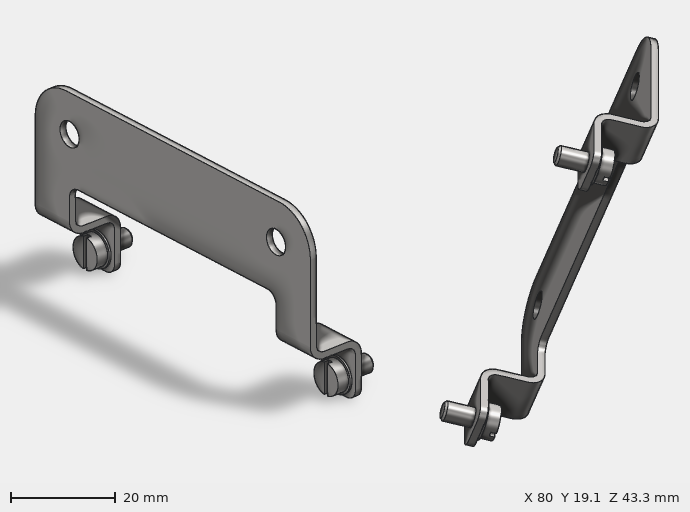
import cadquery as cq
import math

WIDTH = 80.0
HEIGHT = 43.3
SHEET = 1.5
BEND_INNER_R = 2.0
BEND_OUTER_R = BEND_INNER_R + SHEET
STEP_DEPTH = 13.0
WEB_BOTTOM = 12.0
WEB_TOP = WEB_BOTTOM + SHEET

TOP_CORNER_R = 9.0
LEG_WIDTH = 10.0
BRIDGE_HEIGHT = 20.0
WINDOW_TOP = HEIGHT - BRIDGE_HEIGHT
SMALL_CORNER_R = 2.5

MOUNT_HOLE_D = 5.5
MOUNT_HOLE_X = WIDTH / 2 - LEG_WIDTH
MOUNT_HOLE_Z = HEIGHT - TOP_CORNER_R

WASHER_D = 8.0
WASHER_THICKNESS = 0.5
SCREW_D = 4.0
SCREW_PROTRUSION = 6.1
SCREW_TIP_CHAMFER = 0.5
HEAD_D = 7.0
HEAD_HEIGHT = 2.6
SLOT_WIDTH = 1.0
SLOT_DEPTH = 1.1
SCREW_X = WIDTH / 2 - LEG_WIDTH / 2
SCREW_Z = WASHER_D / 2

FOOT_BACK = STEP_DEPTH
FOOT_FRONT = FOOT_BACK - SHEET
WASHER_FRONT = FOOT_FRONT - WASHER_THICKNESS
HEAD_FRONT = WASHER_FRONT - HEAD_HEIGHT
SCREW_TIP = FOOT_BACK + SCREW_PROTRUSION


def cylinder_along_y(diameter, y_start, y_end, x, z):
    """Cylinder parallel to Y, reaching from y_start to y_end."""
    base = cq.Workplane("XZ", origin=(x, y_start, z))
    return base.circle(diameter / 2).extrude(y_start - y_end)


def bent_sheet():
    """Z-shaped sheet profile in the YZ plane, extruded over the full width."""
    diagonal = math.sqrt(0.5)
    upper_y = BEND_OUTER_R
    upper_z = WEB_BOTTOM + BEND_OUTER_R
    lower_y = FOOT_BACK - BEND_OUTER_R
    lower_z = WEB_TOP - BEND_OUTER_R
    inner_mid = BEND_INNER_R * diagonal
    outer_mid = BEND_OUTER_R * diagonal
    return (
        cq.Workplane("YZ", origin=(-WIDTH / 2, 0, 0))
        .moveTo(0, HEIGHT)
        .lineTo(0, upper_z)
        .threePointArc((upper_y - outer_mid, upper_z - outer_mid), (upper_y, WEB_BOTTOM))
        .lineTo(lower_y, WEB_BOTTOM)
        .threePointArc((lower_y + inner_mid, lower_z + inner_mid), (FOOT_FRONT, lower_z))
        .lineTo(FOOT_FRONT, 0)
        .lineTo(FOOT_BACK, 0)
        .lineTo(FOOT_BACK, lower_z)
        .threePointArc((lower_y + outer_mid, lower_z + outer_mid), (lower_y, WEB_TOP))
        .lineTo(upper_y, WEB_TOP)
        .threePointArc((upper_y - inner_mid, upper_z - inner_mid), (SHEET, upper_z))
        .lineTo(SHEET, HEIGHT)
        .close()
        .extrude(WIDTH)
    )


def front_outline():
    """Block with the bracket's rounded, legged outline, as deep as the step."""
    plate = cq.Workplane("XY").box(WIDTH, STEP_DEPTH, HEIGHT, centered=(True, False, False))
    plate = plate.edges("|Y and >Z").fillet(TOP_CORNER_R)
    window_width = WIDTH - 2 * LEG_WIDTH
    window = cq.Workplane("XY").box(
        window_width, STEP_DEPTH, WINDOW_TOP, centered=(True, False, False)
    )
    window = window.edges("|Y and >Z").fillet(SMALL_CORNER_R)
    return plate.cut(window).edges("|Y and <Z").fillet(SMALL_CORNER_R)


def make_bracket():
    """Bent sheet trimmed to its outline, with mounting and screw holes."""
    bracket = bent_sheet().intersect(front_outline())
    for side in (-1, 1):
        mount_hole = cylinder_along_y(MOUNT_HOLE_D, 0, SHEET, side * MOUNT_HOLE_X, MOUNT_HOLE_Z)
        screw_hole = cylinder_along_y(SCREW_D, FOOT_FRONT, FOOT_BACK, side * SCREW_X, SCREW_Z)
        bracket = bracket.cut(mount_hole).cut(screw_hole)
    return bracket


def make_washer(x):
    """Flat washer against the front of a foot."""
    disc = cylinder_along_y(WASHER_D, WASHER_FRONT, FOOT_FRONT, x, SCREW_Z)
    bore = cylinder_along_y(SCREW_D, WASHER_FRONT, FOOT_FRONT, x, SCREW_Z)
    return disc.cut(bore)


def make_screw(x):
    """Cheese-head screw with a vertical slot and a chamfered tip."""
    shank = cylinder_along_y(SCREW_D, WASHER_FRONT, SCREW_TIP, x, SCREW_Z)
    shank = shank.faces(">Y").chamfer(SCREW_TIP_CHAMFER)
    head = cylinder_along_y(HEAD_D, HEAD_FRONT, WASHER_FRONT, x, SCREW_Z)
    slot = cq.Workplane("XY").box(SLOT_WIDTH, SLOT_DEPTH, HEAD_D, centered=(True, False, True))
    slot = slot.translate((x, HEAD_FRONT, SCREW_Z))
    return head.union(shank).cut(slot)


bracket = make_bracket()
washers = []
screws = []
for side in (-1, 1):
    washers.append(make_washer(side * SCREW_X).val())
    screws.append(make_screw(side * SCREW_X).val())

result = cq.Compound.makeCompound([bracket.val(), *washers, *screws])